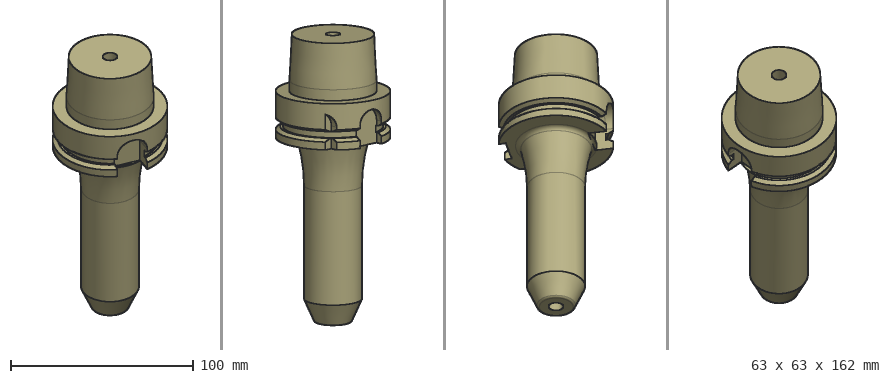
import cadquery as cq
import math

taper_length = 32.0
flange_thickness = 26.0
projection = 130.0
nose_height = 13.0
neck_height = 27.0

taper_top_radius = 45.4 / 2
taper_base_radius = 48.0 / 2
taper_collar_height = 6.3

flange_radius = 63.0 / 2
groove_radius = 55.0 / 2
groove_lip_radius = 29.0
groove_center_depth = 18.125
groove_mouth_width = 7.0
groove_floor_width = 3.75

shank_radius = 32.0 / 2
neck_radius = 91.0
neck_fillet_radius = 3.0
nose_end_radius = 10.2
nose_fillet_radius = 1.5
bore_diameter = 8.0

slot_center_depth = 13.1
narrow_slot_width = 16.0
narrow_slot_floor = 26.5
wide_slot_width = 18.0
wide_slot_floor = 20.0
notch_width = 16.0
notch_floor = 20.1
notch_inner_side = 19.9

flange_bottom = -flange_thickness
nose_end = -projection
nose_top = nose_end + nose_height
neck_bottom = flange_bottom - neck_height


def neck_points():
    """Fillet start, fillet middle, tangent point and flare middle as (radius, height)."""
    flare_center_r = shank_radius + neck_radius
    fillet_center_z = flange_bottom - neck_fillet_radius
    rise = fillet_center_z - neck_bottom
    lean = math.asin(rise / (neck_radius - neck_fillet_radius))
    fillet_center_r = flare_center_r - (neck_radius - neck_fillet_radius) * math.cos(lean)

    def on_fillet(angle):
        return (
            fillet_center_r - neck_fillet_radius * math.cos(angle),
            fillet_center_z + neck_fillet_radius * math.sin(angle),
        )

    fillet_start = on_fillet(math.pi / 2)
    fillet_middle = on_fillet((math.pi / 2 + lean) / 2)
    tangent_point = on_fillet(lean)
    flare_middle = (
        flare_center_r - neck_radius * math.cos(lean / 2),
        neck_bottom + neck_radius * math.sin(lean / 2),
    )
    return fillet_start, fillet_middle, tangent_point, flare_middle


def turned_body():
    """Revolve the half outline of taper, flange, neck, shank and nose."""
    fillet_start, fillet_middle, tangent_point, flare_middle = neck_points()
    mouth_top = -groove_center_depth + groove_mouth_width / 2
    mouth_bottom = -groove_center_depth - groove_mouth_width / 2
    floor_top = -groove_center_depth + groove_floor_width / 2
    floor_bottom = -groove_center_depth - groove_floor_width / 2
    outline = (
        cq.Workplane("XZ")
        .moveTo(0, taper_length)
        .lineTo(taper_top_radius, taper_length)
        .lineTo(taper_base_radius, taper_collar_height)
        .lineTo(taper_base_radius, 0)
        .lineTo(flange_radius, 0)
        .lineTo(flange_radius, mouth_top)
        .lineTo(groove_lip_radius, floor_top)
        .lineTo(groove_radius, floor_top)
        .lineTo(groove_radius, floor_bottom)
        .lineTo(groove_lip_radius, floor_bottom)
        .lineTo(flange_radius, mouth_bottom)
        .lineTo(flange_radius, flange_bottom)
        .lineTo(*fillet_start)
        .threePointArc(fillet_middle, tangent_point)
        .threePointArc(flare_middle, (shank_radius, neck_bottom))
        .lineTo(shank_radius, nose_top)
        .lineTo(nose_end_radius, nose_end)
        .lineTo(0, nose_end)
        .close()
    )
    body = outline.revolve(360, (0, 0, 0), (0, 1, 0))
    return body.faces("<Z").edges().fillet(nose_fillet_radius)


def flange_slot(width, floor, side, center_y=0):
    """Cutter for a round-topped slot open outward and downward; side is +1 or -1 along X."""
    length = flange_radius - floor
    height = flange_thickness - slot_center_depth
    center_x = side * (floor + length / 2)
    straight = cq.Workplane("XY").box(length, width, height).translate(
        (center_x, center_y, flange_bottom + height / 2)
    )
    round_end = (
        cq.Workplane("YZ")
        .circle(width / 2)
        .extrude(length / 2, both=True)
        .translate((center_x, center_y, -slot_center_depth))
    )
    return straight.union(round_end)


def axial_bore():
    return (
        cq.Workplane("XY")
        .workplane(offset=nose_end)
        .circle(bore_diameter / 2)
        .extrude(projection + taper_length)
    )


narrow_slot = flange_slot(narrow_slot_width, narrow_slot_floor, -1)
wide_slot = flange_slot(wide_slot_width, wide_slot_floor, 1)
notch = flange_slot(notch_width, notch_floor, -1, notch_inner_side + notch_width / 2)

result = turned_body().cut(narrow_slot).cut(wide_slot).cut(notch).cut(axial_bore())